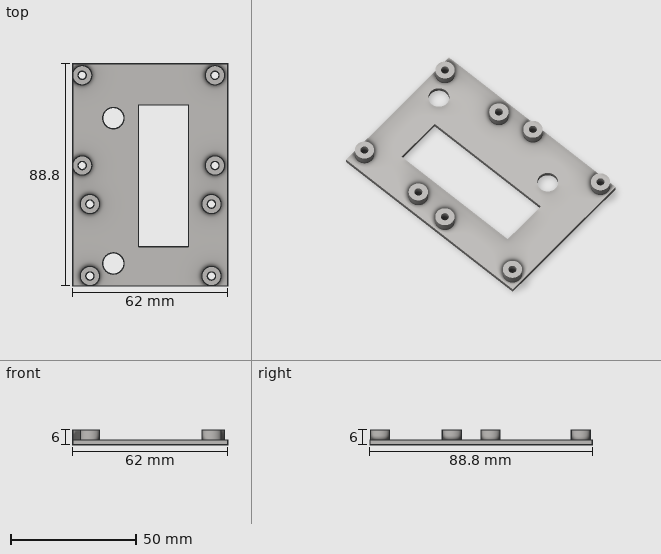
import cadquery as cq

plate_width = 61.95
plate_length = 88.76
plate_thickness = 2.0

standoff_diameter = 7.7
standoff_height = 4.0
bore_diameter = 3.2

upper_left_x = standoff_diameter / 2
upper_bottom_y = 48.1
upper_spacing_x = 53.0
upper_spacing_y = 36.0

lower_left_x = 6.95
lower_bottom_y = 4.0
lower_spacing_x = 48.5
lower_spacing_y = 28.7

window_left_x = 26.35
window_bottom_y = 15.7
window_width = 19.9
window_length = 56.5

side_hole_diameter = 8.4
side_hole_x = 16.3
side_hole_bottom_y = 9.0
side_hole_spacing = 58.0


def rectangle_corners(left, bottom, width, length):
    """Corner points of a rectangle given by its lower left corner and size."""
    return [(x, y) for x in (left, left + width) for y in (bottom, bottom + length)]


def make_plate():
    return cq.Workplane("XY").box(plate_width, plate_length, plate_thickness, centered=False)


def add_standoffs(body, centres):
    """Raise a standoff at each centre and bore it through the plate."""
    total_height = plate_thickness + standoff_height
    standoffs = cq.Workplane("XY").pushPoints(centres).circle(standoff_diameter / 2).extrude(total_height)
    bores = cq.Workplane("XY").pushPoints(centres).circle(bore_diameter / 2).extrude(total_height)
    return body.union(standoffs).cut(bores)


def cut_window(body):
    window = (
        cq.Workplane("XY")
        .box(window_width, window_length, plate_thickness, centered=False)
        .translate((window_left_x, window_bottom_y, 0))
    )
    return body.cut(window)


def cut_side_holes(body):
    centres = [
        (side_hole_x, side_hole_bottom_y),
        (side_hole_x, side_hole_bottom_y + side_hole_spacing),
    ]
    holes = cq.Workplane("XY").pushPoints(centres).circle(side_hole_diameter / 2).extrude(plate_thickness)
    return body.cut(holes)


upper_centres = rectangle_corners(upper_left_x, upper_bottom_y, upper_spacing_x, upper_spacing_y)
lower_centres = rectangle_corners(lower_left_x, lower_bottom_y, lower_spacing_x, lower_spacing_y)

result = make_plate()
result = add_standoffs(result, upper_centres + lower_centres)
result = cut_window(result)
result = cut_side_holes(result)